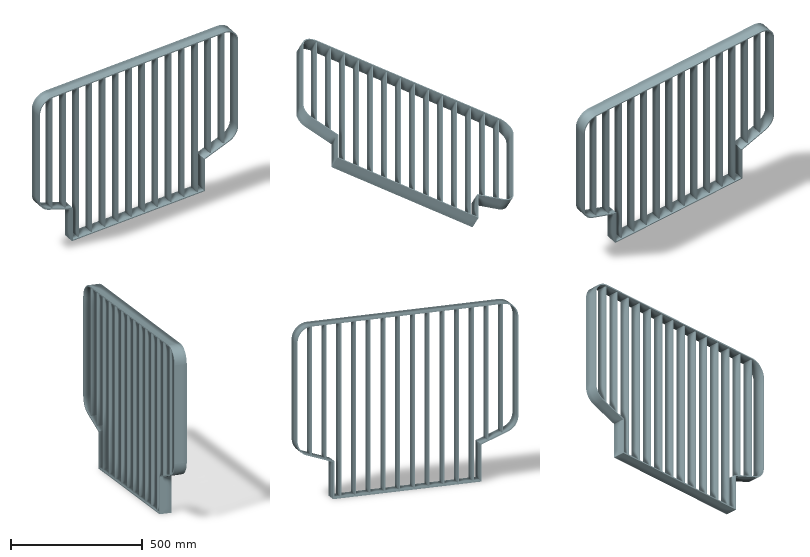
import cadquery as cq
import math

depth = 50.0
width = 905
height = 702.0

frame_thickness = 5.0
corner_radius = 62.0

foot_spaces = 10
foot_height = 147.5
shoulder_angle = 20

bar_count = 14
frame_spaces = 15
bar_depth = 40.0
bar_thickness = 5.0

bar_pitch = (width - frame_thickness) / frame_spaces
foot_width = foot_spaces * bar_pitch + frame_thickness
half_width = width / 2
half_foot = foot_width / 2
bottom = -height / 2
top = height / 2
shoulder_inner = bottom + foot_height
shoulder_rise = (half_width - half_foot) * math.tan(math.radians(shoulder_angle))
shoulder_outer = shoulder_inner + shoulder_rise


def outer_body():
    """Solid silhouette, with the four outermost corners rounded."""
    right_side = [
        (half_foot, bottom),
        (half_foot, shoulder_inner),
        (half_width, shoulder_outer),
        (half_width, top),
    ]
    left_side = [(-y, z) for y, z in reversed(right_side)]
    body = (
        cq.Workplane("YZ")
        .polyline(right_side + left_side)
        .close()
        .extrude(depth / 2, both=True)
    )
    outermost = cq.selectors.BoxSelector(
        (-depth, half_foot + corner_radius, bottom),
        (depth, width, height),
    )
    opposite = cq.selectors.BoxSelector(
        (-depth, -width, bottom),
        (depth, -half_foot - corner_radius, height),
    )
    return body.edges("|X").edges(outermost + opposite).fillet(corner_radius)


def frame_opening(body):
    """The silhouette moved inward by the strip thickness, through the full depth."""
    outline = body.faces("<X").wires().val()
    inner_outline = outline.offset2D(-frame_thickness, "intersection")[0]
    return cq.Workplane(cq.Solid.extrudeLinear(inner_outline, [], cq.Vector(depth, 0, 0)))


def upright_bars():
    """Full-height bars, later trimmed to the silhouette."""
    first_bar = -(bar_count - 1) * bar_pitch / 2
    places = [(first_bar + i * bar_pitch, 0) for i in range(bar_count)]
    return (
        cq.Workplane("YZ")
        .pushPoints(places)
        .rect(bar_thickness, height)
        .extrude(bar_depth / 2, both=True)
    )


silhouette = outer_body()
opening = frame_opening(silhouette)
frame = silhouette.cut(opening)
bars = upright_bars().intersect(silhouette)
result = frame.union(bars)